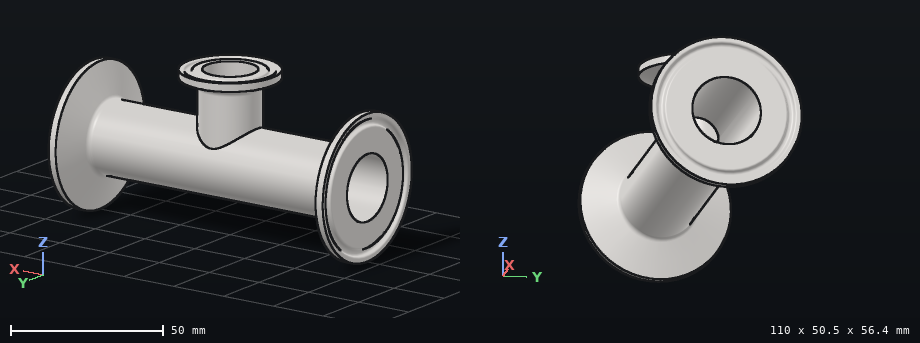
import cadquery as cq
import math

run_length = 110.0
overall_height = 56.4

run_flange_diameter = 50.5
run_tube_diameter = 25.4
run_bore_diameter = 23.0
run_groove_radius = 21.9

branch_flange_diameter = 34.0
branch_tube_diameter = 21.7
branch_bore_diameter = 18.4
branch_groove_radius = 13.9

rim_thickness = 2.9
cone_angle = math.radians(20)
neck_fillet = 1.9
groove_half_width = 2.0
groove_floor_radius = 1.2
groove_lip_radius = 0.9

branch_height = overall_height - run_flange_diameter / 2


def point_on_circle(center, radius, angle):
    return (center[0] + radius * math.cos(angle), center[1] + radius * math.sin(angle))


def clamp_stub(length, flange_diameter, tube_diameter):
    """Solid tube from Z = 0 to a tapered clamp flange whose face is at Z = length."""
    flange_radius = flange_diameter / 2
    tube_radius = tube_diameter / 2
    rim_bottom = length - rim_thickness
    cone_bottom = rim_bottom - (flange_radius - tube_radius) * math.tan(cone_angle)

    tangent_length = neck_fillet * math.tan((math.pi / 2 - cone_angle) / 2)
    fillet_center = (tube_radius + neck_fillet, cone_bottom - tangent_length)
    cone_normal = math.pi / 2 + cone_angle
    fillet_middle = point_on_circle(fillet_center, neck_fillet, (math.pi + cone_normal) / 2)
    fillet_end = point_on_circle(fillet_center, neck_fillet, cone_normal)

    profile = (
        cq.Workplane("XZ")
        .lineTo(tube_radius, 0)
        .lineTo(tube_radius, fillet_center[1])
        .threePointArc(fillet_middle, fillet_end)
        .lineTo(flange_radius, rim_bottom)
        .lineTo(flange_radius, length)
        .lineTo(0, length)
        .close()
    )
    return profile.revolve(360, (0, 0, 0), (0, 1, 0))


def gasket_groove(length, groove_radius):
    """Ring cutter: a round floor blending through convex lips into the flange face."""
    lip_angle = math.asin(groove_half_width / (groove_floor_radius + groove_lip_radius))
    depth = (groove_floor_radius + groove_lip_radius) * (1 - math.cos(lip_angle))
    lip_center_height = length - groove_lip_radius
    floor_center = (groove_radius, length - depth + groove_floor_radius)

    inner_center = (groove_radius - groove_half_width, lip_center_height)
    outer_center = (groove_radius + groove_half_width, lip_center_height)
    up = math.pi / 2
    down = -math.pi / 2

    profile = (
        cq.Workplane("XZ")
        .moveTo(inner_center[0], length)
        .threePointArc(
            point_on_circle(inner_center, groove_lip_radius, up - lip_angle / 2),
            point_on_circle(inner_center, groove_lip_radius, up - lip_angle),
        )
        .threePointArc(
            point_on_circle(floor_center, groove_floor_radius, down),
            point_on_circle(floor_center, groove_floor_radius, down + lip_angle),
        )
        .threePointArc(
            point_on_circle(outer_center, groove_lip_radius, up + lip_angle / 2),
            (outer_center[0], length),
        )
        .close()
    )
    return profile.revolve(360, (0, 0, 0), (0, 1, 0))


def grooved_stub(length, flange_diameter, tube_diameter, groove_radius):
    stub = clamp_stub(length, flange_diameter, tube_diameter)
    return stub.cut(gasket_groove(length, groove_radius))


body = grooved_stub(branch_height, branch_flange_diameter, branch_tube_diameter, branch_groove_radius)
run_stub = grooved_stub(run_length / 2, run_flange_diameter, run_tube_diameter, run_groove_radius)
for tilt in (-90, 90):
    body = body.union(run_stub.rotate((0, 0, 0), (0, 1, 0), tilt))

run_bore = cq.Workplane("YZ").circle(run_bore_diameter / 2).extrude(run_length / 2, both=True)
branch_bore = cq.Workplane("XY").circle(branch_bore_diameter / 2).extrude(branch_height)

result = body.cut(run_bore).cut(branch_bore)